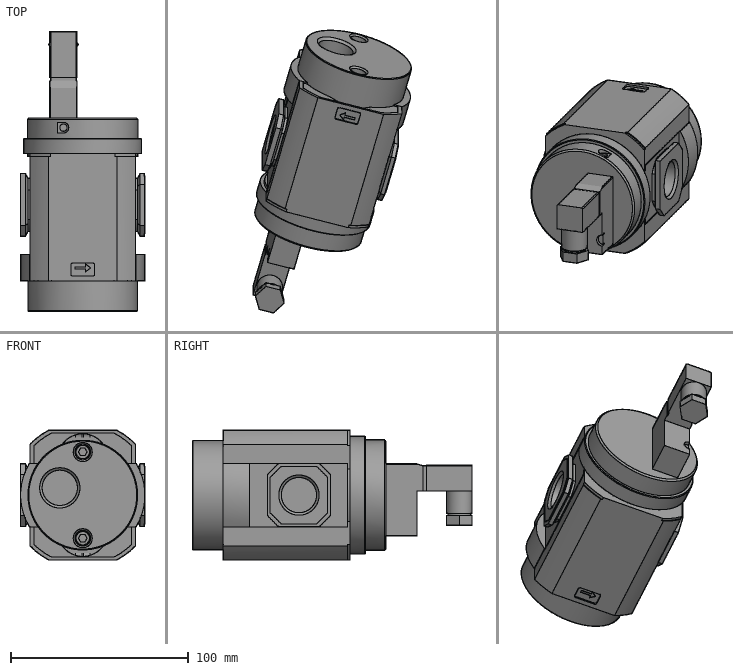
import cadquery as cq
import math

TOTAL_LENGTH = 157.4
BAND_START = 17.3
BAND_END = 32.1
CORE_RECESS = 0.8
CORE_END = 87.2
COVER_END = 88.7
COLLAR_END = 97.4
CAP_END = 108.9
SLOPE_START = 125.5
BLOCK_END = 126.4
ARM_END = 129.7
CONNECTOR_START = 131.5

OVERALL_WIDTH = 70.2
OVERALL_HEIGHT = 73.0
COVER_WIDTH = 59.5
COVER_CORNER_RADIUS = 41.2
COVER_SIDE_WALL = 2.2
COVER_TOP_WALL = 1.7
COVER_LIP_RADIUS = 40.8
WINDOW_HEIGHT = 35.7
INLET_DRUM_RADIUS = 30.8
NECK_RADIUS = 31.0
BAND_RADIUS = 35.0
COLLAR_RADIUS = 33.2
SMALL_CHAMFER = 0.5

CORE_WIDTH = COVER_WIDTH - 2 * COVER_SIDE_WALL
CORE_HEIGHT = OVERALL_HEIGHT - 2 * COVER_TOP_WALL
CORE_CORNER_RADIUS = COVER_CORNER_RADIUS - COVER_SIDE_WALL

PORT_FLANGE_SIZE = 35.4
PORT_FLANGE_CORNER = 6.1
PORT_FLANGE_RIM = 2.8
PORT_BEVEL_DEPTH = 1.4
PORT_PAD_HEIGHT = 0.5
PORT_PAD_INSET = 1.5
PORT_NECK_SIZE = 30.0
PORT_NECK_RADIUS = 17.2
PORT_CENTRE_Y = 60.0
SIDE_PLATE_HALF_WIDTH = 29.3
PORT_RADIUS = 9.9
PORT_CHAMFER = 1.4
PORT_DEPTH = 22.0
INLET_X = -12.9
INLET_Z = 4.1

SCREW_OFFSET = 24.2
COUNTERBORE_RADIUS = 4.4
COUNTERBORE_DEPTH = 12.6
COUNTERBORE_CHAMFER = 1.0
SCREW_HEAD_RADIUS = 3.8
SCREW_HEAD_HEIGHT = 4.7
SCREW_SHANK_RADIUS = 2.4
SCREW_SHANK_LENGTH = 15.7
HEX_SOCKET_WIDTH = 4.9
HEX_SOCKET_DEPTH = 2.4

LATCH_RECESS_RADIUS = 14.2
LATCH_RECESS_Z = 20.3
LATCH_RECESS_DEPTH = 4.7
LATCH_TOOTH_HEIGHT = 0.6
LATCH_WIDTH = 8.2
LATCH_GAP = 1.1
LATCH_TOOTH_BOTTOM = 32.7

LABEL_LENGTH = 13.4
LABEL_WIDTH = 7.2
LABEL_Y = 23.6
LABEL_DEPTH = 1.1
LABEL_CORNER = 1.0
ARROW_Y = 24.5
ARROW_HEIGHT = 0.3
ARROW_HALF_LENGTH = 4.4
ARROW_HEAD_START = 1.5
ARROW_SHAFT_HALF_WIDTH = 0.6
ARROW_HEAD_HALF_WIDTH = 2.2

CAP_RADIUS = 31.2
CAP_CHAMFER = 1.0
VENT_X = -10.9
VENT_Y = 103.4
VENT_FLOOR_Z = 27.7
VENT_SLOT_RADIUS = 3.0
VENT_HOLE_RADIUS = 2.0
VENT_HOLE_DEPTH = 1.5

PILOT_X = -10.9
PILOT_WIDTH = 15.4
PILOT_TOP = 17.8
PILOT_BOTTOM = -23.0
ARM_BOTTOM = 2.2
CONNECTOR_TOP = 17.0
CONNECTOR_EDGE = 0.6
GASKET_INSET = 0.5
GLAND_RADIUS = 7.2
GLAND_NECK_RADIUS = 6.5
GLAND_BOTTOM = -10.2
GLAND_NUT_TOP = -11.3
GLAND_NUT_BOTTOM = -17.0
BUTTON_Z = -14.5
BUTTON_POCKET_RADIUS = 3.3
BUTTON_POCKET_DEPTH = 3.8
BUTTON_RADIUS = 3.0
BUTTON_HEIGHT = 2.0


def at_y(y):
    """Work plane facing +Y at the given station; local x runs along -X and local y along Z."""
    return cq.Workplane("XZ", origin=(0, y, 0)).transformed(rotate=(0, 180, 0))


def disc(radius, start, end):
    """Round drum about the valve axis."""
    return at_y(start).circle(radius).extrude(end - start)


def block(x_range, y_range, z_range):
    """Rectangular block between two limits on each axis."""
    sizes = [high - low for low, high in (x_range, y_range, z_range)]
    corner = (x_range[0], y_range[0], z_range[0])
    return cq.Workplane("XY").box(*sizes, centered=False).translate(corner)


def round_cornered_bar(width, height, corner_radius, start, end):
    """Rectangular bar along Y whose corners are rounded off by a circle about the valve axis."""
    bar = at_y(start).rect(width, height).extrude(end - start)
    return bar.intersect(disc(corner_radius, start, end))


def square_plate(size, x_start, x_end):
    """Square plate facing X, centred on the side ports."""
    plate = cq.Workplane("YZ", origin=(x_start, PORT_CENTRE_Y, 0)).rect(size, size)
    return plate.extrude(x_end - x_start)


def port_flange(cut_corners):
    """Flange on the +X side: round neck with flats, bevelled back and square rim with cut corners."""
    rim_start = OVERALL_WIDTH / 2 - PORT_FLANGE_RIM
    neck_end = rim_start - PORT_BEVEL_DEPTH
    neck_round = cq.Workplane("YZ", origin=(0, PORT_CENTRE_Y, 0)).circle(PORT_NECK_RADIUS)
    neck = square_plate(PORT_NECK_SIZE, 0, neck_end).intersect(neck_round.extrude(neck_end))

    rim = square_plate(PORT_FLANGE_SIZE, rim_start, OVERALL_WIDTH / 2)
    rim = rim.edges(cut_corners).chamfer(PORT_FLANGE_CORNER)
    bevel_angle = math.degrees(math.atan2((PORT_FLANGE_SIZE - PORT_NECK_SIZE) / 2, PORT_BEVEL_DEPTH))
    back = rim.faces("<X").wires().toPending().workplane()
    rim = back.extrude(PORT_BEVEL_DEPTH, taper=bevel_angle)
    return neck.union(rim)


def inlet_side_flange():
    """Flange on the -X side; its upper rear corner stays square."""
    return port_flange("|X and (<Y or <Z)").mirror("YZ")


def outlet_side_flange():
    """Flange on the +X side; all its corners are cut and its face carries a raised pad."""
    step_start = OVERALL_WIDTH / 2 - PORT_PAD_HEIGHT
    step = square_plate(PORT_FLANGE_SIZE, step_start, OVERALL_WIDTH / 2)
    pad = square_plate(PORT_FLANGE_SIZE - 2 * PORT_PAD_INSET, step_start, OVERALL_WIDTH / 2)
    pad = pad.edges("|X").chamfer(PORT_FLANGE_CORNER)
    return port_flange("|X").cut(step.cut(pad))


def port_bore():
    """Blind bore with a countersunk mouth, its mouth at the origin and its axis along +Z."""
    bore = cq.Workplane("XY").circle(PORT_RADIUS).extrude(PORT_DEPTH)
    mouth = cq.Solid.makeCone(PORT_RADIUS + PORT_CHAMFER, PORT_RADIUS, PORT_CHAMFER)
    return bore.union(cq.Workplane(mouth))


def screw_hole(side):
    """Countersunk counterbore and shank hole for one cover screw."""
    centre_z = side * SCREW_OFFSET
    mouth = cq.Workplane(cq.Solid.makeCone(
        COUNTERBORE_RADIUS + COUNTERBORE_CHAMFER, COUNTERBORE_RADIUS, COUNTERBORE_CHAMFER,
        pnt=cq.Vector(0, 0, centre_z), dir=cq.Vector(0, 1, 0)))
    bore = disc(COUNTERBORE_RADIUS, 0, COUNTERBORE_DEPTH)
    shank = disc(SCREW_SHANK_RADIUS, 0, COUNTERBORE_DEPTH + SCREW_SHANK_LENGTH)
    return bore.union(shank).translate((0, 0, centre_z)).union(mouth)


def latch_recess(core_start):
    """Round-backed recess above the drum, with a pair of ramped teeth standing on its floor."""
    floor = core_start + LATCH_RECESS_DEPTH
    recess = disc(LATCH_RECESS_RADIUS, core_start, floor).translate((0, 0, LATCH_RECESS_Z))
    tooth_tip = floor - LATCH_TOOTH_HEIGHT
    tooth_top = CORE_HEIGHT / 2
    ramp = [(floor, LATCH_TOOTH_BOTTOM), (tooth_tip, tooth_top), (floor, tooth_top)]
    teeth = cq.Workplane("YZ").polyline(ramp).close().extrude(LATCH_WIDTH / 2, both=True)
    gap = block((-LATCH_GAP / 2, LATCH_GAP / 2), (tooth_tip, floor), (LATCH_TOOTH_BOTTOM, tooth_top))
    return recess.cut(teeth.cut(gap))


def make_housing():
    core_start = BAND_START + CORE_RECESS
    core = round_cornered_bar(CORE_WIDTH, CORE_HEIGHT, CORE_CORNER_RADIUS, core_start, CORE_END)
    drum = disc(INLET_DRUM_RADIUS, 0, BAND_END).faces("<Y").chamfer(SMALL_CHAMFER)
    neck = disc(NECK_RADIUS, CORE_END, COVER_END)
    for turn in (0, 180):
        core = core.cut(latch_recess(core_start).rotate((0, 0, 0), (0, 1, 0), turn))
    housing = core.union(drum).union(neck)

    window_z = (-WINDOW_HEIGHT / 2, WINDOW_HEIGHT / 2)
    plate_x = (-SIDE_PLATE_HALF_WIDTH, SIDE_PLATE_HALF_WIDTH)
    housing = housing.union(block(plate_x, (BAND_START, CORE_END), window_z))
    band_window = block((-BAND_RADIUS, BAND_RADIUS), (BAND_START, BAND_END), window_z)
    housing = housing.union(disc(BAND_RADIUS, BAND_START, BAND_END).intersect(band_window))

    housing = housing.union(inlet_side_flange()).union(outlet_side_flange())
    for side in (-1, 1):
        bore = port_bore().rotate((0, 0, 0), (0, 1, 0), -side * 90)
        housing = housing.cut(bore.translate((side * OVERALL_WIDTH / 2, PORT_CENTRE_Y, 0)))
        housing = housing.cut(screw_hole(side))

    inlet = port_bore().rotate((0, 0, 0), (1, 0, 0), -90).translate((INLET_X, 0, INLET_Z))
    return housing.cut(inlet)


def label_recess():
    """Label pocket in the top face, with a raised flow arrow left on its floor."""
    floor = cq.Workplane("XY", origin=(0, LABEL_Y, OVERALL_HEIGHT / 2 - LABEL_DEPTH))
    pocket = floor.rect(LABEL_LENGTH, LABEL_WIDTH).extrude(LABEL_DEPTH).edges("|Z").fillet(LABEL_CORNER)
    half_arrow = [
        (-ARROW_HALF_LENGTH, 0), (-ARROW_HALF_LENGTH, ARROW_SHAFT_HALF_WIDTH),
        (ARROW_HEAD_START, ARROW_SHAFT_HALF_WIDTH), (ARROW_HEAD_START, ARROW_HEAD_HALF_WIDTH),
        (ARROW_HALF_LENGTH, 0),
    ]
    arrow = floor.center(0, ARROW_Y - LABEL_Y).polyline(half_arrow).mirrorX().extrude(ARROW_HEIGHT)
    return pocket.cut(arrow)


def make_cover():
    """Upper cover: a thin channel over the core, with a rear lip that clears the cap collar."""
    shell = round_cornered_bar(COVER_WIDTH, OVERALL_HEIGHT, COVER_CORNER_RADIUS, BAND_START, CORE_END)
    core_space = round_cornered_bar(CORE_WIDTH, CORE_HEIGHT, CORE_CORNER_RADIUS, BAND_START, CORE_END)
    above_window = block((-COVER_WIDTH / 2, COVER_WIDTH / 2), (BAND_START, CORE_END),
                         (WINDOW_HEIGHT / 2, OVERALL_HEIGHT / 2))
    shell = shell.cut(core_space).intersect(above_window)

    lip = round_cornered_bar(COVER_WIDTH, OVERALL_HEIGHT, COVER_LIP_RADIUS, CORE_END, COVER_END)
    lip = lip.cut(disc(COLLAR_RADIUS, CORE_END, COVER_END))
    upper_half = block((-COVER_WIDTH / 2, COVER_WIDTH / 2), (CORE_END, COVER_END), (0, OVERALL_HEIGHT / 2))
    lip = lip.intersect(upper_half)
    return shell.union(lip).cut(label_recess())


def make_screw(side):
    head_end = COUNTERBORE_DEPTH
    head_start = head_end - SCREW_HEAD_HEIGHT
    screw = disc(SCREW_HEAD_RADIUS, head_start, head_end)
    screw = screw.union(disc(SCREW_SHANK_RADIUS, head_end, head_end + SCREW_SHANK_LENGTH))
    socket = at_y(head_start).polygon(6, HEX_SOCKET_WIDTH).extrude(HEX_SOCKET_DEPTH)
    return screw.cut(socket).translate((0, 0, side * SCREW_OFFSET))


def make_cap():
    collar = disc(COLLAR_RADIUS, COVER_END, COLLAR_END).faces(">Y").chamfer(SMALL_CHAMFER)
    drum = disc(CAP_RADIUS, COLLAR_END, CAP_END).faces(">Y").chamfer(CAP_CHAMFER)

    slot = cq.Workplane("XY", origin=(VENT_X, VENT_Y, VENT_FLOOR_Z))
    slot_end = slot.circle(VENT_SLOT_RADIUS).extrude(CAP_RADIUS)
    slot_run = block((-CAP_RADIUS, VENT_X),
                     (VENT_Y - VENT_SLOT_RADIUS, VENT_Y + VENT_SLOT_RADIUS),
                     (VENT_FLOOR_Z, CAP_RADIUS))
    hole = slot.circle(VENT_HOLE_RADIUS).extrude(-VENT_HOLE_DEPTH)
    return collar.union(drum).cut(slot_end).cut(slot_run).cut(hole)


def make_pilot():
    x_min = PILOT_X - PILOT_WIDTH / 2
    x_max = PILOT_X + PILOT_WIDTH / 2
    profile = [
        (CAP_END, PILOT_BOTTOM), (BLOCK_END, PILOT_BOTTOM), (BLOCK_END, ARM_BOTTOM),
        (ARM_END, ARM_BOTTOM), (ARM_END, CONNECTOR_TOP - GASKET_INSET),
        (SLOPE_START, PILOT_TOP), (CAP_END, PILOT_TOP),
    ]
    pilot = cq.Workplane("YZ", origin=(x_min, 0, 0)).polyline(profile).close().extrude(PILOT_WIDTH)
    pilot = pilot.edges("|Y and >Z").chamfer(SMALL_CHAMFER)

    pocket_floor = BLOCK_END - BUTTON_POCKET_DEPTH
    pocket = disc(BUTTON_POCKET_RADIUS, pocket_floor, BLOCK_END).translate((x_min, 0, BUTTON_Z))
    button = disc(BUTTON_RADIUS, pocket_floor, pocket_floor + BUTTON_HEIGHT)
    button = button.translate((x_min, 0, BUTTON_Z))
    button = button.intersect(block((x_min, x_max), (CAP_END, BLOCK_END), (PILOT_BOTTOM, PILOT_TOP)))
    pilot = pilot.cut(pocket).union(button)

    gasket = block((x_min + GASKET_INSET, x_max - GASKET_INSET), (ARM_END, CONNECTOR_START),
                   (ARM_BOTTOM, CONNECTOR_TOP - GASKET_INSET))
    connector = block((x_min, x_max), (CONNECTOR_START, TOTAL_LENGTH), (ARM_BOTTOM, CONNECTOR_TOP))
    connector = connector.edges("|Y and >Z").chamfer(CONNECTOR_EDGE)

    gland_y = TOTAL_LENGTH - GLAND_RADIUS
    axis = cq.Workplane("XY", origin=(PILOT_X, gland_y, 0))
    gland = axis.workplane(offset=GLAND_BOTTOM).circle(GLAND_RADIUS).extrude(ARM_BOTTOM - GLAND_BOTTOM)
    neck = axis.workplane(offset=GLAND_NUT_TOP).circle(GLAND_NECK_RADIUS)
    neck = neck.extrude(GLAND_BOTTOM - GLAND_NUT_TOP)
    nut_corner_width = 2 * GLAND_RADIUS / math.cos(math.radians(30))
    nut = axis.workplane(offset=GLAND_NUT_BOTTOM).polygon(6, nut_corner_width)
    nut = nut.extrude(GLAND_NUT_TOP - GLAND_NUT_BOTTOM)
    return pilot.union(gasket).union(connector).union(gland).union(neck).union(nut)


upper_cover = make_cover()
covers = [upper_cover.rotate((0, 0, 0), (0, 1, 0), angle) for angle in (0, 180)]

housing = make_housing()
screws = [make_screw(side) for side in (-1, 1)]
cap = make_cap()
pilot = make_pilot()

result = cq.Compound.makeCompound([
    housing.val(),
    *[cover.val() for cover in covers],
    *[screw.val() for screw in screws],
    cap.val(),
    pilot.val(),
])